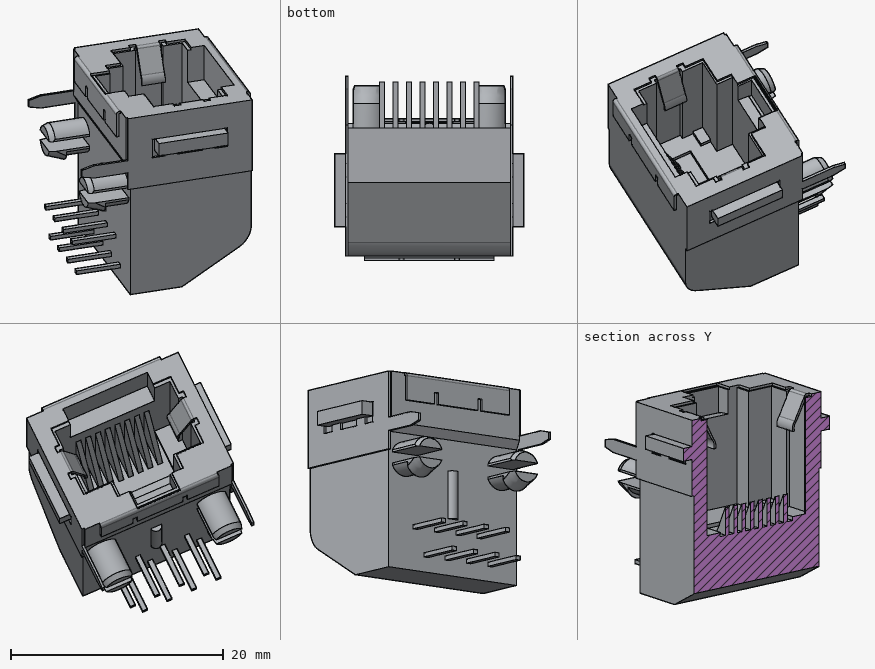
import cadquery as cq
import math


BODY_WIDTH = 15.23
BODY_BACK = 12.02
HEIGHT = 18.67
SHEET = 0.25
BODY_TOP = HEIGHT - SHEET
UPPER_FRONT = -0.45
BEVEL_BOTTOM = 12.98
BEVEL_TOP = 13.83
BOTTOM_BACK = 5.12
SLOPE_ANGLE = 30
SLOPE_FILLET = 2.5

SOCKET_WIDTH = 11.91
SOCKET_BACK = 9.76
SOCKET_STEP = 2.95
SOCKET_FLOOR = 7.1
KEYWAY_WIDTH = 6.31
KEYWAY_FRONT = 1.27
RECESS_WIDTH = 8.74
RECESS_BACK = 11.4
RECESS_LEDGE = 15.07
PIT_FRONT = 5.1
PIT_FLOOR = 6.72
CORNER_STEP_BACK = 4.0
CORNER_STEP_HEIGHT = 0.37
CONTACT_COUNT = 8
CONTACT_PITCH = 1.0
CONTACT_WIDTH = 0.5
CONTACT_TIP = 6.68
CONTACT_TOP = 13.18

POCKET_WIDTH = 4.07
POCKET_FRONT = -0.17
POCKET_STEP = 0.15
POCKET_FLOOR = 16.05
POCKET_SLOPE = 4
POCKET_STEP_DROP = 0.1

SHIELD_WIDTH = BODY_WIDTH + 2 * SHEET
SHIELD_FRONT = -0.3
SHIELD_BOTTOM = 11.22
RIM = 0.25
OPENING_FRONT_STEP = 2.78
OPENING_BACK = 10.12
LATCH_SLOT_WIDTH = 4.4

FLAP_WIDTH = 12.21
FLAP_REACH = 0.43
FLAP_BOTTOM = 16.02
BEND_RADIUS = 0.34
FLAP_SLIT_WIDTH = 0.49
FLAP_SLIT_TOP = 17.14
FLAP_SLIT_X = 2.6
FLAP_SLIT_FILLET = 0.11

FINGER_Y = 6.5
FINGER_WIDTH = 2.3
FINGER_ROOT = 6.37
FINGER_BEND_X = 6.1
FINGER_BEND_Z = 18.48
FINGER_CURL_X = 4.91
FINGER_CURL_Z = 16.25
FINGER_CURL_RADIUS = 1.12
FINGER_TIP_X = 4.67
FINGER_TIP_Z = 15.27
FINGER_SLIT_X = 6.67
FINGER_SLITS_WIDTH = 3.6
FINGER_POCKET_WIDTH = 2.75

BAR_SPAN = 17.77
BAR_BOTTOM = 14.8
BAR_TOP = 16.11
BAR_LENGTH = 6.87
BAR_Y = 5.85
WINDOW_LENGTH = 7.45
WINDOW_BOTTOM = 14.17
STRAP_WIDTH = 1.27
STRAP_OFFSET = 1.87

LEG_TIP = -4.87
LEG_TAPER_START = -3.68
LEG_BOTTOM = 12.98
LEG_TOP = 14.26
LEG_TIP_INSET = 0.3

POST_X = 5.7
POST_Z = 10.51
POST_RADIUS = 1.65
POST_WIDTH = 2.93
POST_TIP = -3.98
POST_TIP_RADIUS = 1.42
POST_CHAMFER_START = -3.42
POST_SLOT = 1.05
BARB_START = -2.3
BARB_DROP = 0.41

RIB_RADIUS = 0.56
RIB_BOTTOM = 5.43
RIB_TOP = 9.99
RIB_DEPTH = 0.49

PIN_PITCH = 1.27
PIN_WIDTH = 0.5
PIN_HEIGHT = 0.4
PIN_TIP = -4.33
PIN_ROWS = 2
PIN_LOW_Z = 1.62
PIN_ROW_GAP = 2 * PIN_PITCH
PIN_COUNT = 8


def block(x0, x1, y0, y1, z0, z1):
    return cq.Workplane("XY").box(x1 - x0, y1 - y0, z1 - z0, centered=False).translate((x0, y0, z0))


def centered_block(width, y0, y1, z0, z1):
    return block(-width / 2, width / 2, y0, y1, z0, z1)


def side_profile(points, width):
    """Extrude a (Y, Z) outline evenly to both sides of X = 0."""
    return cq.Workplane("YZ").polyline(points).close().extrude(width / 2, both=True)


def both_sides(solid):
    return solid.union(solid.mirror("YZ"))


def body():
    slope_top = (BODY_BACK - BOTTOM_BACK) * math.tan(math.radians(SLOPE_ANGLE))
    outline = [
        (0, 0),
        (BOTTOM_BACK, 0),
        (BODY_BACK, slope_top),
        (BODY_BACK, BODY_TOP),
        (UPPER_FRONT, BODY_TOP),
        (UPPER_FRONT, BEVEL_TOP),
        (0, BEVEL_BOTTOM),
    ]
    back_corner = cq.selectors.NearestToPointSelector((0, BODY_BACK, slope_top))
    return side_profile(outline, BODY_WIDTH).edges(back_corner).fillet(SLOPE_FILLET)


def socket():
    main = centered_block(SOCKET_WIDTH, SOCKET_STEP, SOCKET_BACK, SOCKET_FLOOR, HEIGHT)
    keyway = centered_block(KEYWAY_WIDTH, KEYWAY_FRONT, SOCKET_STEP, SOCKET_FLOOR, HEIGHT)
    recess = centered_block(RECESS_WIDTH, PIT_FRONT, RECESS_BACK, RECESS_LEDGE, HEIGHT)
    pit = centered_block(RECESS_WIDTH, PIT_FRONT, SOCKET_BACK, PIT_FLOOR, HEIGHT)
    finger_pocket = centered_block(
        2 * FINGER_ROOT,
        FINGER_Y - FINGER_POCKET_WIDTH / 2,
        FINGER_Y + FINGER_POCKET_WIDTH / 2,
        SOCKET_FLOOR,
        BODY_TOP,
    )
    corner_step = block(
        RECESS_WIDTH / 2,
        SOCKET_WIDTH / 2,
        SOCKET_STEP,
        CORNER_STEP_BACK,
        SOCKET_FLOOR,
        SOCKET_FLOOR + CORNER_STEP_HEIGHT,
    )
    space = main.union(keyway).union(recess).union(pit).union(finger_pocket)
    return space.cut(both_sides(corner_step))


def latch_pocket():
    """Pocket whose floor falls toward the board side, with a small step near its end."""
    slope = math.tan(math.radians(POCKET_SLOPE))
    step_top = POCKET_FLOOR - slope * (KEYWAY_FRONT - POCKET_STEP)
    step_foot = step_top - POCKET_STEP_DROP
    end = step_foot - slope * (POCKET_STEP - POCKET_FRONT)
    outline = [
        (KEYWAY_FRONT, BODY_TOP),
        (KEYWAY_FRONT, POCKET_FLOOR),
        (POCKET_STEP, step_top),
        (POCKET_STEP, step_foot),
        (POCKET_FRONT, end),
        (POCKET_FRONT, BODY_TOP),
    ]
    return side_profile(outline, POCKET_WIDTH)


def contacts():
    outline = [(SOCKET_BACK, PIT_FLOOR), (SOCKET_BACK, CONTACT_TOP), (CONTACT_TIP, PIT_FLOOR)]
    contact = side_profile(outline, CONTACT_WIDTH)
    row = cq.Workplane("XY")
    for index in range(CONTACT_COUNT):
        x = (index - (CONTACT_COUNT - 1) / 2) * CONTACT_PITCH
        row = row.add(contact.translate((x, 0, 0)))
    return row.combine()


def shield_opening():
    main = centered_block(
        SOCKET_WIDTH + 2 * RIM, OPENING_FRONT_STEP, OPENING_BACK, BODY_TOP, HEIGHT
    )
    keyway = centered_block(
        KEYWAY_WIDTH + 2 * RIM, KEYWAY_FRONT, OPENING_FRONT_STEP, BODY_TOP, HEIGHT
    )
    recess = centered_block(RECESS_WIDTH, PIT_FRONT, RECESS_BACK, BODY_TOP, HEIGHT)
    latch_slot = centered_block(
        LATCH_SLOT_WIDTH, UPPER_FRONT - FLAP_REACH + SHEET, KEYWAY_FRONT, BODY_TOP, HEIGHT
    )
    finger_slits = centered_block(
        2 * FINGER_SLIT_X,
        FINGER_Y - FINGER_SLITS_WIDTH / 2,
        FINGER_Y + FINGER_SLITS_WIDTH / 2,
        BODY_TOP,
        HEIGHT,
    )
    return main.union(keyway).union(recess).union(latch_slot).union(finger_slits)


def flap(edge_y):
    """Flap folded down from the board-side edge of the shield at edge_y."""
    outer = edge_y - FLAP_REACH
    sheet = (
        cq.Workplane("YZ")
        .moveTo(edge_y, HEIGHT)
        .lineTo(outer + BEND_RADIUS, HEIGHT)
        .radiusArc((outer, HEIGHT - BEND_RADIUS), -BEND_RADIUS)
        .lineTo(outer, FLAP_BOTTOM)
        .lineTo(outer + SHEET, FLAP_BOTTOM)
        .lineTo(outer + SHEET, HEIGHT - BEND_RADIUS)
        .radiusArc((outer + BEND_RADIUS, BODY_TOP), BEND_RADIUS - SHEET)
        .lineTo(edge_y, BODY_TOP)
        .close()
        .extrude(FLAP_WIDTH / 2, both=True)
    )
    slit = (
        centered_block(FLAP_SLIT_WIDTH, outer, outer + SHEET, FLAP_BOTTOM, FLAP_SLIT_TOP)
        .edges("|Y and >Z")
        .fillet(FLAP_SLIT_FILLET)
    )
    return sheet.cut(both_sides(slit.translate((FLAP_SLIT_X, 0, 0))))


def spring_finger():
    """Finger bent down into the +X side of the socket."""
    return (
        cq.Workplane("XZ")
        .moveTo(FINGER_SLIT_X, HEIGHT)
        .lineTo(FINGER_ROOT, HEIGHT)
        .radiusArc((FINGER_BEND_X, FINGER_BEND_Z), -BEND_RADIUS)
        .lineTo(FINGER_CURL_X, FINGER_CURL_Z)
        .radiusArc((FINGER_TIP_X, FINGER_TIP_Z), -FINGER_CURL_RADIUS)
        .lineTo(FINGER_TIP_X + SHEET, FINGER_TIP_Z)
        .radiusArc((FINGER_CURL_X + SHEET, FINGER_CURL_Z), FINGER_CURL_RADIUS - SHEET)
        .lineTo(FINGER_ROOT, BODY_TOP)
        .lineTo(FINGER_SLIT_X, BODY_TOP)
        .close()
        .extrude(FINGER_WIDTH / 2, both=True)
        .translate((0, FINGER_Y, 0))
    )


def side_window():
    """Opening in the +X shield wall, with two straps left below the bar."""
    inner = BODY_WIDTH / 2
    outer = SHIELD_WIDTH / 2
    window = block(
        inner, outer, BAR_Y - WINDOW_LENGTH / 2, BAR_Y + WINDOW_LENGTH / 2, WINDOW_BOTTOM, BAR_TOP
    )
    for y in (BAR_Y - STRAP_OFFSET, BAR_Y + STRAP_OFFSET):
        strap = block(
            inner, outer, y - STRAP_WIDTH / 2, y + STRAP_WIDTH / 2, WINDOW_BOTTOM, BAR_BOTTOM
        )
        window = window.cut(strap)
    return window


def leg():
    outline = [
        (SHIELD_FRONT, LEG_BOTTOM),
        (SHIELD_FRONT, LEG_TOP),
        (LEG_TAPER_START, LEG_TOP),
        (LEG_TIP, LEG_TOP - LEG_TIP_INSET),
        (LEG_TIP, LEG_BOTTOM + LEG_TIP_INSET),
        (LEG_TAPER_START, LEG_BOTTOM),
    ]
    blade = cq.Workplane("YZ").polyline(outline).close().extrude(SHEET)
    return blade.translate((BODY_WIDTH / 2, 0, 0))


def shield():
    top = centered_block(SHIELD_WIDTH, SHIELD_FRONT, BODY_BACK, BODY_TOP, HEIGHT)
    front_strip = centered_block(BODY_WIDTH, UPPER_FRONT, SHIELD_FRONT, BODY_TOP, HEIGHT)
    wall = block(
        BODY_WIDTH / 2, SHIELD_WIDTH / 2, SHIELD_FRONT, BODY_BACK, SHIELD_BOTTOM, HEIGHT
    ).cut(side_window())
    back_flap = flap(-BODY_BACK).mirror("XZ")
    metal = top.union(front_strip).union(flap(UPPER_FRONT)).union(back_flap)
    metal = metal.union(both_sides(wall.union(leg())))
    return metal.cut(shield_opening()).union(both_sides(spring_finger()))


def side_bar():
    return block(
        BODY_WIDTH / 2, BAR_SPAN / 2, BAR_Y - BAR_LENGTH / 2, BAR_Y + BAR_LENGTH / 2, BAR_BOTTOM, BAR_TOP
    )


def post():
    """Split post with a chamfered upper half and a barbed lower half."""
    reach = POST_RADIUS + BARB_DROP
    upper = (
        cq.Workplane("XY")
        .polyline([
            (0, 0),
            (POST_RADIUS, 0),
            (POST_RADIUS, POST_CHAMFER_START),
            (POST_TIP_RADIUS, POST_TIP),
            (0, POST_TIP),
        ])
        .close()
        .revolve(360, (0, 0, 0), (0, 1, 0))
        .intersect(centered_block(POST_WIDTH, POST_TIP, 0, POST_SLOT / 2, POST_RADIUS))
    )
    shank = cq.Workplane("XZ").circle(POST_RADIUS).extrude(-BARB_START)
    barb = (
        cq.Workplane("XZ", origin=(0, BARB_START, 0))
        .center(0, -BARB_DROP)
        .circle(POST_RADIUS)
        .workplane(offset=BARB_START - POST_TIP)
        .center(0, BARB_DROP)
        .circle(POST_TIP_RADIUS)
        .loft(ruled=True)
    )
    lower_space = centered_block(POST_WIDTH, POST_TIP, 0, -reach, -POST_SLOT / 2)
    lower = shank.union(barb).intersect(lower_space)
    return upper.union(lower).translate((POST_X, 0, POST_Z))


def rib():
    cylinder = cq.Workplane("XY").circle(RIB_RADIUS).extrude(RIB_TOP - RIB_BOTTOM)
    return cylinder.translate((0, RIB_RADIUS - RIB_DEPTH, RIB_BOTTOM))


def board_pins():
    """Two staggered rows of pins."""
    pins = cq.Workplane("XY")
    for index in range(PIN_COUNT):
        x = (index - (PIN_COUNT - 1) / 2) * PIN_PITCH
        upper_row = index % PIN_ROWS == 0
        z = PIN_LOW_Z + PIN_ROW_GAP if upper_row else PIN_LOW_Z
        pin = centered_block(PIN_WIDTH, PIN_TIP, 0, -PIN_HEIGHT / 2, PIN_HEIGHT / 2)
        pins = pins.add(pin.translate((x, 0, z)))
    return pins.combine()


result = body().cut(socket()).cut(latch_pocket()).union(contacts())
result = result.union(shield()).union(both_sides(side_bar()))
result = result.union(both_sides(post())).union(rib()).union(board_pins())